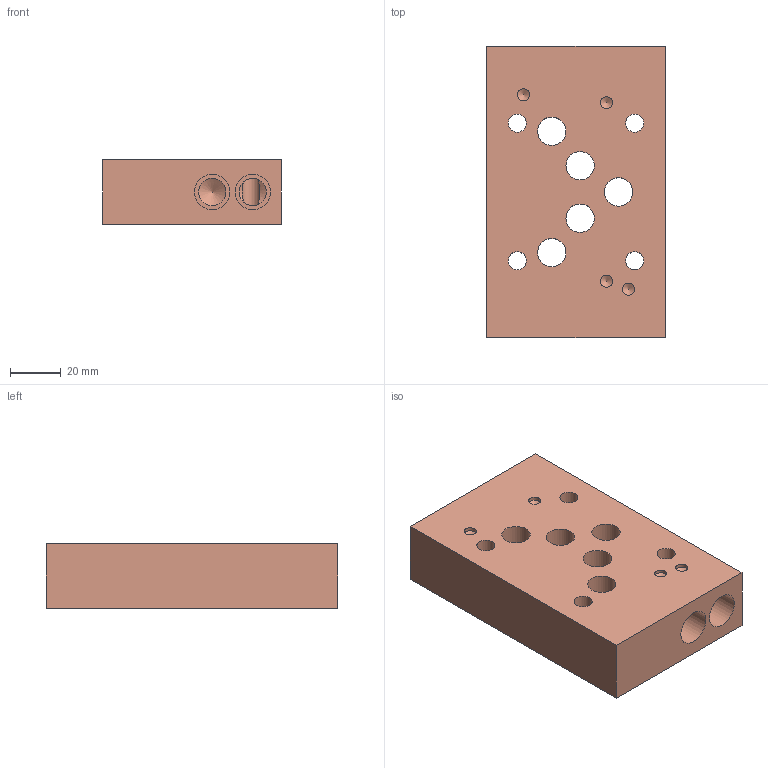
import cadquery as cq
import math

WIDTH = 69.85
LENGTH = 114.3
HEIGHT = 25.4
FRONT_Y = -LENGTH / 2

BOLT_DIAMETER = 7.14
BOLT_X = 23.02
BOLT_Y = 27.0
FLOW_DIAMETER = 11.12
PRESSURE_X = 16.7
WORK_X, WORK_Y = 1.6, 10.3
TANK_X, TANK_Y = -9.5, 23.8

SMALL_DIAMETER = 4.75
SMALL_DEPTH = 1.38
PILOT_X, PILOT_Y = 12.0, 35.0
CORNER_X, CORNER_Y = 20.6, 38.1

PORT_XS = (7.94, 23.81)
PORT_DIAMETER = 13.87
PORT_DEPTH = 16.0
PORT_DRILL_DIAMETER = 10.72
PORT_DRILL_DEPTH = 28.0

DRILL_POINT_ANGLE = 120


def drill(diameter, depth):
    """Drill body with its mouth at the origin, running down -Z to a conical point."""
    radius = diameter / 2
    point_height = radius / math.tan(math.radians(DRILL_POINT_ANGLE / 2))
    return (
        cq.Workplane("XZ")
        .polyline([(0, 0), (radius, 0), (radius, -depth), (0, -depth - point_height)])
        .close()
        .revolve(360, (0, 0, 0), (0, 1, 0))
    )


def cut_through_holes(body, points, diameter):
    """Cut vertical holes through the full height of the block."""
    holes = cq.Workplane("XY").pushPoints(points).circle(diameter / 2).extrude(HEIGHT)
    return body.cut(holes)


def cut_small_holes(body):
    """Cut the shallow, cone-ended holes in the top face."""
    points = [
        (PILOT_X, PILOT_Y),
        (PILOT_X, -PILOT_Y),
        (-CORNER_X, CORNER_Y),
        (CORNER_X, -CORNER_Y),
    ]
    small_drill = drill(SMALL_DIAMETER, SMALL_DEPTH)
    for x, y in points:
        body = body.cut(small_drill.translate((x, y, HEIGHT)))
    return body


def cut_front_ports(body):
    """Cut the stepped ports; the one nearer the side breaks into a bolt hole."""
    wide_bore = cq.Workplane("XY").circle(PORT_DIAMETER / 2).extrude(-PORT_DEPTH)
    port = drill(PORT_DRILL_DIAMETER, PORT_DRILL_DEPTH).union(wide_bore)
    port = port.rotate((0, 0, 0), (1, 0, 0), 90)
    for x in PORT_XS:
        body = body.cut(port.translate((x, FRONT_Y, HEIGHT / 2)))
    return body


bolt_points = [(x, y) for x in (-BOLT_X, BOLT_X) for y in (-BOLT_Y, BOLT_Y)]
flow_points = [
    (PRESSURE_X, 0),
    (WORK_X, WORK_Y),
    (WORK_X, -WORK_Y),
    (TANK_X, TANK_Y),
    (TANK_X, -TANK_Y),
]

block = cq.Workplane("XY").box(WIDTH, LENGTH, HEIGHT, centered=(True, True, False))
block = cut_through_holes(block, bolt_points, BOLT_DIAMETER)
block = cut_through_holes(block, flow_points, FLOW_DIAMETER)
block = cut_small_holes(block)
result = cut_front_ports(block)